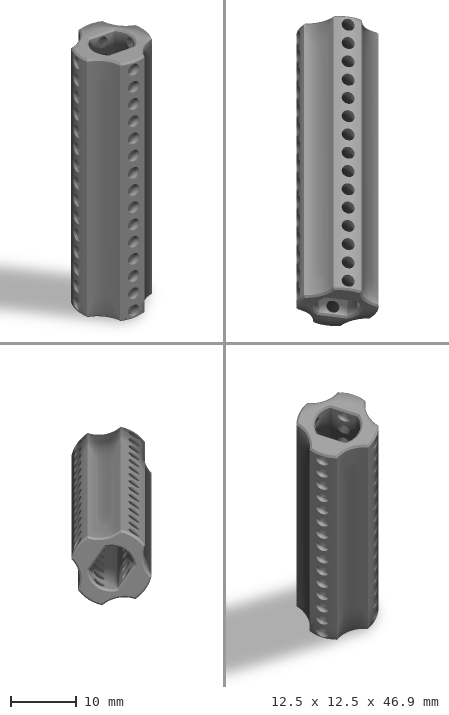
import cadquery as cq
import math

length = 46.9
outer_diameter = 12.5
end_chamfer = 0.3

flute_count = 4
lobe_width = 4.45
flute_radius = 4.95

bore_diameter = 7.0
bore_flat_width = 5.3

hole_count = 15
hole_diameter = 2.0
hole_pitch = length / hole_count
first_hole_height = hole_pitch / 2

outer_radius = outer_diameter / 2
half_lobe = lobe_width / 2
lobe_edge = math.sqrt(outer_radius**2 - half_lobe**2)
half_chord = (lobe_edge - half_lobe) / math.sqrt(2)
chord_distance = (lobe_edge + half_lobe) / math.sqrt(2)
flute_offset = chord_distance + math.sqrt(flute_radius**2 - half_chord**2)


def fluted_body():
    first_flute_angle = 180 / flute_count
    flutes = (
        cq.Workplane("XY")
        .polarArray(flute_offset, first_flute_angle, 360, flute_count)
        .circle(flute_radius)
        .extrude(length)
    )
    return cq.Workplane("XY").circle(outer_radius).extrude(length).cut(flutes)


def flatted_bore():
    flats = cq.Workplane("XY").rect(bore_flat_width, bore_diameter).extrude(length)
    return cq.Workplane("XY").circle(bore_diameter / 2).extrude(length).intersect(flats)


def cross_holes(plane):
    heights = [first_hole_height + i * hole_pitch for i in range(hole_count)]
    return (
        cq.Workplane(plane)
        .pushPoints([(0, height) for height in heights])
        .circle(hole_diameter / 2)
        .extrude(outer_radius, both=True)
    )


result = fluted_body().cut(flatted_bore())
result = result.faces("<Z or >Z").edges().chamfer(end_chamfer)

for hole_plane in ("XZ", "YZ"):
    result = result.cut(cross_holes(hole_plane))